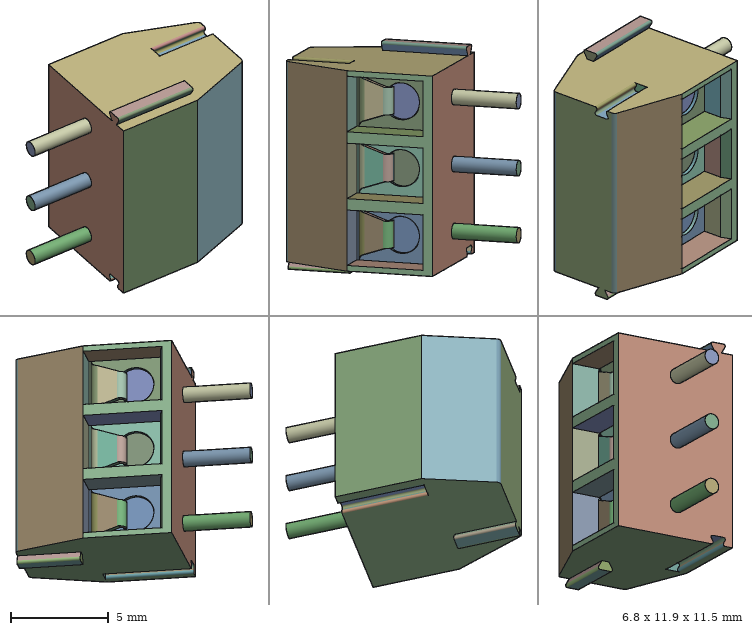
import cadquery as cq
import math


pole_count = 3
body_width = 6.8
body_depth = 8.4
body_height = 10.46
shoulder_depth = 4.6
back_width = 3.97
back_corner_radius = 0.25

pin_pitch = 3.5
pin_radius = 0.4
pin_length = 3.5
pin_offset = 0.1

pocket_pitch = body_height / pole_count
wall_thickness = 0.6
pocket_height = pocket_pitch - wall_thickness
pocket_front = 0.5
pocket_lead_in = 0.19
pocket_lead_in_depth = 0.54
pocket_depth = 1.6

recess_radius = 0.96
recess_center = 2.19
recess_depth = 0.2

tongue_top_depth = 1.3
tongue_embed = 0.2
tongue_bend_radius = 0.4
tongue_front = 2.67
tongue_back = 4.5
tongue_tip_width = 1.43
tongue_taper_start = 2.99
tongue_shoulder_width = 2.18
tongue_flare_depth = 4.37
tongue_flare_width = 2.45

front_dovetail_x = 2.55
back_dovetail_x = -1.14
front_dovetail_length = shoulder_depth
back_dovetail_length = 3.3
flank_angle = 30.0
dovetail_radius = 0.11
rail_height = 0.5
rail_mouth_width = 0.42
groove_depth = 0.48
groove_mouth_width = 0.45

half_width = body_width / 2
half_height = body_height / 2
back_dovetail_start = body_depth - back_dovetail_length


def pole_levels(pitch):
    """Z positions of the poles, centred on the housing."""
    return [(index - (pole_count - 1) / 2) * pitch for index in range(pole_count)]


def make_housing():
    half_back = back_width / 2
    outline = [
        (-half_width, 0),
        (half_width, 0),
        (half_width, shoulder_depth),
        (half_back, body_depth),
        (-half_back, body_depth),
        (-half_width, shoulder_depth),
    ]
    housing = cq.Workplane("XY").polyline(outline).close().extrude(half_height, both=True)
    return housing.edges("|Z and >Y").fillet(back_corner_radius)


def make_pin(level):
    start = body_depth / 2
    return (
        cq.Workplane("XZ", origin=(pin_offset, start, level))
        .circle(pin_radius)
        .extrude(start + pin_length)
    )


def make_pocket(level):
    """Space removed for one wire entry, with the recess in its floor."""
    floor_x = -half_width + pocket_depth
    outline = [
        (-half_width, pocket_front),
        (-half_width + pocket_lead_in_depth, pocket_front + pocket_lead_in),
        (floor_x, pocket_front + pocket_lead_in),
        (floor_x, shoulder_depth),
        (-half_width, shoulder_depth),
    ]
    pocket = (
        cq.Workplane("XY", origin=(0, 0, level))
        .polyline(outline)
        .close()
        .extrude(pocket_height / 2, both=True)
    )
    recess = (
        cq.Workplane("YZ", origin=(floor_x, recess_center, level))
        .circle(recess_radius)
        .extrude(recess_depth)
    )
    return pocket.union(recess)


def make_tongue(level):
    """Block with both ends rounded over, trimmed to a tapering width with a flared back end."""
    top_x = -half_width + tongue_top_depth
    thickness = pocket_depth + recess_depth + tongue_embed - tongue_top_depth
    block = (
        cq.Workplane("XY", origin=(top_x, 0, level))
        .moveTo(thickness, tongue_front)
        .lineTo(thickness, tongue_back)
        .lineTo(tongue_bend_radius, tongue_back)
        .radiusArc((0, tongue_back - tongue_bend_radius), -tongue_bend_radius)
        .lineTo(0, tongue_front + tongue_bend_radius)
        .radiusArc((tongue_bend_radius, tongue_front), -tongue_bend_radius)
        .close()
        .extrude(pocket_height / 2, both=True)
    )
    tip = tongue_tip_width / 2
    shoulder = tongue_shoulder_width / 2
    flare = tongue_flare_width / 2
    wide = pocket_height / 2
    shoulder_y = tongue_back - tongue_bend_radius
    trim = (
        cq.Workplane("YZ", origin=(top_x, 0, level))
        .moveTo(tongue_front, -tip)
        .lineTo(tongue_taper_start, -tip)
        .lineTo(shoulder_y, -shoulder)
        .threePointArc((tongue_flare_depth, -flare), (tongue_back, -wide))
        .lineTo(tongue_back, wide)
        .threePointArc((tongue_flare_depth, flare), (shoulder_y, shoulder))
        .lineTo(tongue_taper_start, tip)
        .lineTo(tongue_front, tip)
        .close()
        .extrude(thickness)
    )
    return block.intersect(trim)


def make_dovetail(mouth_width, height, start, length):
    """Dovetail bar along Y, narrow at Z = 0, with its two wide edges rounded."""
    half_mouth = mouth_width / 2
    half_wide = half_mouth + height * math.tan(math.radians(flank_angle))
    outline = [(-half_mouth, 0), (half_mouth, 0), (half_wide, height), (-half_wide, height)]
    bar = cq.Workplane("XZ", origin=(0, start, 0)).polyline(outline).close().extrude(-length)
    return bar.edges("|Y and >Z").fillet(dovetail_radius)


def make_rail(start, length):
    return make_dovetail(rail_mouth_width, rail_height, start, length)


def make_groove(start, length):
    """Dovetail space below Z = 0 whose mouth has rounded lips."""
    bar = make_dovetail(groove_mouth_width, groove_depth, start, length)
    bar = bar.mirror("XY")
    half_mouth = groove_mouth_width / 2
    angle = math.radians(flank_angle)
    tangent = dovetail_radius * math.tan(math.pi / 4 + angle / 2)
    surface_x = half_mouth + tangent
    flank_x = half_mouth + tangent * math.sin(angle)
    flank_z = -tangent * math.cos(angle)
    neck_x = surface_x - dovetail_radius
    mouth = (
        cq.Workplane("XZ", origin=(0, start, 0))
        .moveTo(-surface_x, 0)
        .lineTo(surface_x, 0)
        .threePointArc((neck_x, -dovetail_radius), (flank_x, flank_z))
        .lineTo(-flank_x, flank_z)
        .threePointArc((-neck_x, -dovetail_radius), (-surface_x, 0))
        .close()
        .extrude(-length)
    )
    return bar.union(mouth)


def on_top(dovetail, x):
    return dovetail.translate((x, 0, half_height))


def on_bottom(dovetail, x):
    return dovetail.mirror("XY").translate((x, 0, -half_height))


result = make_housing()

for pocket_level in pole_levels(pocket_pitch):
    result = result.cut(make_pocket(pocket_level))

for pin_level in pole_levels(pin_pitch):
    result = result.union(make_pin(pin_level))

for pocket_level in pole_levels(pocket_pitch):
    result = result.union(make_tongue(pocket_level))

front_rail = make_rail(0, front_dovetail_length)
front_groove = make_groove(0, front_dovetail_length)
back_rail = make_rail(back_dovetail_start, back_dovetail_length)
back_groove = make_groove(back_dovetail_start, back_dovetail_length)

result = result.union(on_top(front_rail, front_dovetail_x))
result = result.cut(on_bottom(front_groove, front_dovetail_x))
result = result.union(on_bottom(back_rail, back_dovetail_x))
result = result.cut(on_top(back_groove, back_dovetail_x))